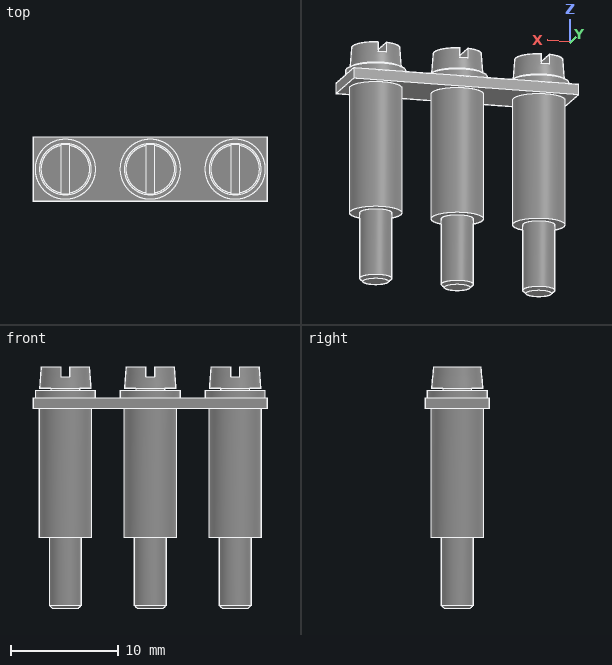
import cadquery as cq

PLATE_LENGTH = 21.8
PLATE_WIDTH = 6.0
PLATE_THICKNESS = 1.0

SCREW_COUNT = 3
SCREW_PITCH = 7.9

SLEEVE_DIAMETER = 4.9
SLEEVE_LENGTH = 12.0

PIN_DIAMETER = 3.0
PIN_LENGTH = 6.6
PIN_CHAMFER = 0.3

WASHER_DIAMETER = 5.6
WASHER_THICKNESS = 0.7
NECK_DIAMETER = 2.7
NECK_HEIGHT = 0.2
HEAD_BASE_DIAMETER = 4.8
HEAD_TOP_DIAMETER = 4.5
HEAD_HEIGHT = 2.0
SLOT_WIDTH = 0.8
SLOT_DEPTH = 0.95

SLEEVE_END_Z = -SLEEVE_LENGTH
PIN_TIP_Z = SLEEVE_END_Z - PIN_LENGTH
WASHER_TOP_Z = PLATE_THICKNESS + WASHER_THICKNESS
HEAD_BASE_Z = WASHER_TOP_Z + NECK_HEIGHT
HEAD_TOP_Z = HEAD_BASE_Z + HEAD_HEIGHT


def make_plate():
    """Flat rectangular bar that joins the screws."""
    return cq.Workplane("XY").box(
        PLATE_LENGTH, PLATE_WIDTH, PLATE_THICKNESS, centered=(True, True, False)
    )


def make_screw_body():
    """Sleeve, pin, washer, neck and tapered head revolved about Z."""
    pin_radius = PIN_DIAMETER / 2
    sleeve_radius = SLEEVE_DIAMETER / 2
    washer_radius = WASHER_DIAMETER / 2
    neck_radius = NECK_DIAMETER / 2
    half_profile = [
        (0, PIN_TIP_Z),
        (pin_radius - PIN_CHAMFER, PIN_TIP_Z),
        (pin_radius, PIN_TIP_Z + PIN_CHAMFER),
        (pin_radius, SLEEVE_END_Z),
        (sleeve_radius, SLEEVE_END_Z),
        (sleeve_radius, PLATE_THICKNESS),
        (washer_radius, PLATE_THICKNESS),
        (washer_radius, WASHER_TOP_Z),
        (neck_radius, WASHER_TOP_Z),
        (neck_radius, HEAD_BASE_Z),
        (HEAD_BASE_DIAMETER / 2, HEAD_BASE_Z),
        (HEAD_TOP_DIAMETER / 2, HEAD_TOP_Z),
        (0, HEAD_TOP_Z),
    ]
    return cq.Workplane("XZ").polyline(half_profile).close().revolve(360, (0, 0), (0, 1))


def make_driver_slot():
    """Cutter for the screwdriver slot, running along Y across the whole head."""
    return (
        cq.Workplane("XY")
        .workplane(offset=HEAD_TOP_Z - SLOT_DEPTH)
        .box(SLOT_WIDTH, HEAD_BASE_DIAMETER, SLOT_DEPTH, centered=(True, True, False))
    )


screw = make_screw_body().cut(make_driver_slot())
first_screw_x = -SCREW_PITCH * (SCREW_COUNT - 1) / 2

result = make_plate()
for index in range(SCREW_COUNT):
    screw_x = first_screw_x + index * SCREW_PITCH
    result = result.union(screw.translate((screw_x, 0, 0)))